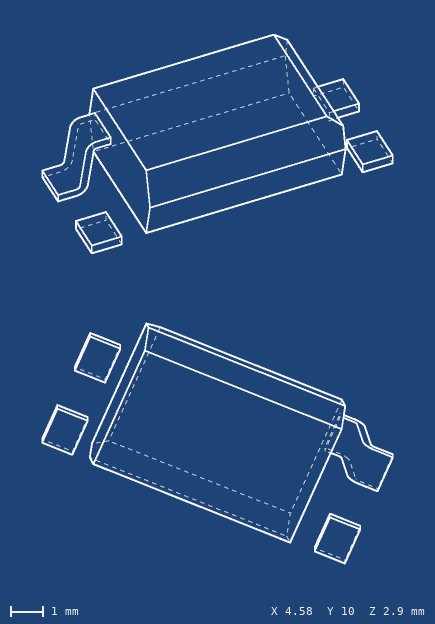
import cadquery as cq
import math

overall_length = 10.0
foot_width = 1.2
foot_spacing = 2.54

housing_length = 6.5
waist_width = 4.58
face_width = 4.0
housing_base = 0.3
housing_height = 2.6
end_chamfer = 0.5

pad_length = 1.0
pad_height = 0.33

lead_top = 2.0
lead_thickness = 0.27
upper_inner_radius = 0.08
lower_inner_radius = 0.12
shoulder_length = 0.48
foot_length = 0.61

housing_end = housing_length / 2
part_end = overall_length / 2
foot_x = foot_spacing / 2
upper_outer_radius = upper_inner_radius + lead_thickness
lower_outer_radius = lower_inner_radius + lead_thickness


def make_housing():
    """Six-sided prism along Y, with one chamfered top edge at the +Y end."""
    half_waist = waist_width / 2
    half_face = face_width / 2
    top = housing_base + housing_height
    waist = housing_base + housing_height / 2
    outline = [
        (-half_face, housing_base),
        (half_face, housing_base),
        (half_waist, waist),
        (half_face, top),
        (-half_face, top),
        (-half_waist, waist),
    ]
    body = cq.Workplane("XZ").polyline(outline).close().extrude(housing_end, both=True)
    corner_cut = (
        cq.Workplane("YZ")
        .polyline([
            (housing_end - end_chamfer, top),
            (housing_end, top),
            (housing_end, top - end_chamfer),
        ])
        .close()
        .extrude(half_waist, both=True)
    )
    return body.cut(corner_cut)


def make_lead():
    """Gull-wing strip from the -Y face of the housing down to its foot."""
    upper_center = (-housing_end - shoulder_length, lead_top - upper_outer_radius)
    lower_center = (-part_end + foot_length, lower_outer_radius)

    run = upper_center[0] - lower_center[0]
    drop = upper_center[1] - lower_center[1]
    radius_sum = upper_outer_radius + lower_inner_radius
    leg_tilt = math.atan2(run, drop) - math.asin(radius_sum / math.hypot(run, drop))
    bend_angle = math.pi / 2 - leg_tilt

    def upper_point(radius, angle):
        """Point on the upper bend, with the angle measured from +Z toward -Y."""
        return (
            upper_center[0] - radius * math.sin(angle),
            upper_center[1] + radius * math.cos(angle),
        )

    def lower_point(radius, angle):
        """Point on the lower bend, with the angle measured from -Z toward +Y."""
        return (
            lower_center[0] + radius * math.sin(angle),
            lower_center[1] - radius * math.cos(angle),
        )

    half_bend = bend_angle / 2
    profile = (
        cq.Workplane("YZ", origin=(-foot_x - foot_width / 2, 0, 0))
        .moveTo(-housing_end, lead_top)
        .lineTo(*upper_point(upper_outer_radius, 0))
        .threePointArc(
            upper_point(upper_outer_radius, half_bend),
            upper_point(upper_outer_radius, bend_angle),
        )
        .lineTo(*lower_point(lower_inner_radius, bend_angle))
        .threePointArc(
            lower_point(lower_inner_radius, half_bend),
            lower_point(lower_inner_radius, 0),
        )
        .lineTo(-part_end, lead_thickness)
        .lineTo(-part_end, 0)
        .lineTo(*lower_point(lower_outer_radius, 0))
        .threePointArc(
            lower_point(lower_outer_radius, half_bend),
            lower_point(lower_outer_radius, bend_angle),
        )
        .lineTo(*upper_point(upper_inner_radius, bend_angle))
        .threePointArc(
            upper_point(upper_inner_radius, half_bend),
            upper_point(upper_inner_radius, 0),
        )
        .lineTo(-housing_end, lead_top - lead_thickness)
        .close()
    )
    return profile.extrude(foot_width)


def make_pad(x_side, y_side):
    """Rectangular pad in the corner given by the signs of X and Y."""
    pad_y = part_end - pad_length / 2
    return (
        cq.Workplane("XY")
        .box(foot_width, pad_length, pad_height, centered=(True, True, False))
        .translate((x_side * foot_x, y_side * pad_y, 0))
    )


housing_with_lead = make_housing().union(make_lead())
pad_corners = [(1, -1), (-1, 1), (1, 1)]
pads = [make_pad(x_side, y_side) for x_side, y_side in pad_corners]

result = cq.Compound.makeCompound([housing_with_lead.val(), *[pad.val() for pad in pads]])